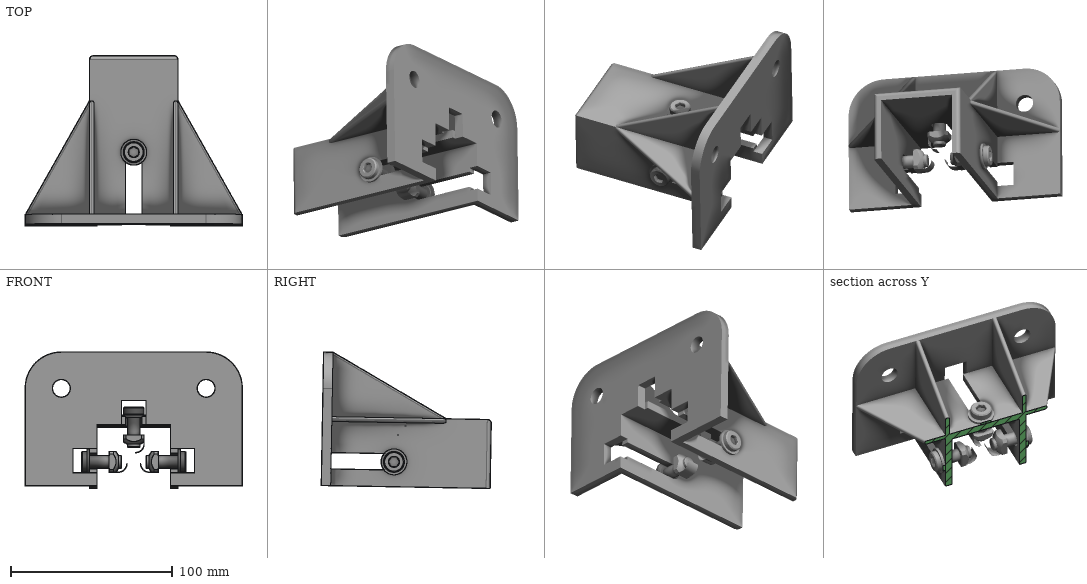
import cadquery as cq
import math


PITCH = 1.0

FLANGE_WIDTH = 135.0
FLANGE_HEIGHT = 83.0
FLANGE_THICKNESS = 6.0
CORNER_RADIUS = 22.5
MOUNTING_HOLE_DIAMETER = 11.0

BRACKET_LENGTH = 105.0
CHANNEL_INNER_WIDTH = 45.4
CHANNEL_INNER_HEIGHT = 38.0
SIDE_WALL = 4.9
TOP_WALL = 5.0
CHANNEL_WIDTH = CHANNEL_INNER_WIDTH + 2 * SIDE_WALL
CHANNEL_HEIGHT = CHANNEL_INNER_HEIGHT + TOP_WALL
END_FILLET = 2.5

RIB_LENGTH = 71.0
RIB_THICKNESS = 3.0
RIB_EDGE_FILLET = 1.2

ACCESS_WIDTH = 15.0
SLOT_WIDTH = 10.0
BOLT_Y = 45.0
SIDE_BOLT_Z = 15.5

SHANK_DIAMETER = 8.0
SHANK_LENGTH = 20.0
SHANK_CHAMFER = 0.4
HEAD_DIAMETER = 13.0
HEAD_HEIGHT = 5.0
HEAD_CHAMFER = 0.7
SOCKET_WIDTH = 6.0
SOCKET_DEPTH = 2.5
SOCKET_COUNTERSINK_DEPTH = 0.4
SOCKET_COUNTERSINK_ANGLE = 45
WASHER_DIAMETER = 16.0
WASHER_THICKNESS = 1.6
NUT_WIDTH = 13.0
NUT_CORNER_CHAMFER = 1.8
NUT_THICKNESS = 5.7
NUT_DOME_RADIUS = 10.0
NUT_END_DIAMETER = 8.5
NUT_OFFSET = 12.3
SPRING_THICKNESS = 0.1
SPRING_RADIUS = 5.4
SPRING_WIDTH = 8.1


def block(width, y_start, y_end, z_start, z_end):
    """Box given by its width about X = 0 and its Y and Z limits."""
    size = (width, y_end - y_start, z_end - z_start)
    return cq.Workplane().box(*size, centered=(True, False, False)).translate((0, y_start, z_start))


def flange():
    plate = block(FLANGE_WIDTH, 0, FLANGE_THICKNESS, 0, FLANGE_HEIGHT)
    plate = plate.edges("|Y and >Z").fillet(CORNER_RADIUS)
    hole_x = FLANGE_WIDTH / 2 - CORNER_RADIUS
    hole_z = FLANGE_HEIGHT - CORNER_RADIUS
    holes = (
        cq.Workplane("XZ")
        .pushPoints([(-hole_x, hole_z), (hole_x, hole_z)])
        .circle(MOUNTING_HOLE_DIAMETER / 2)
        .extrude(-FLANGE_THICKNESS)
    )
    return plate.cut(holes)


def channel_block():
    body = block(CHANNEL_WIDTH, 0, BRACKET_LENGTH, 0, CHANNEL_HEIGHT)
    far_face = body.faces(">Y")
    return far_face.edges("not <Z").fillet(END_FILLET)


def rib(height, start):
    """Rib parallel to YZ, tapering to Z = start, rooted in the channel wall, with rounded sloping edges."""
    tip_y = FLANGE_THICKNESS + RIB_LENGTH
    root = start - RIB_THICKNESS
    outline = [
        (FLANGE_THICKNESS, root),
        (tip_y, root),
        (tip_y, start),
        (FLANGE_THICKNESS, start + height),
    ]
    plate = cq.Workplane("YZ").polyline(outline).close().extrude(RIB_THICKNESS)
    slope = plate.faces(cq.selectors.DirectionMinMaxSelector(cq.Vector(0, height, RIB_LENGTH), True))
    return slope.edges("not |X").fillet(RIB_EDGE_FILLET)


def ribs():
    top_rib = rib(FLANGE_HEIGHT - CHANNEL_HEIGHT, CHANNEL_HEIGHT).translate(
        (CHANNEL_WIDTH / 2 - RIB_THICKNESS, 0, 0)
    )
    side_rib = (
        rib((FLANGE_WIDTH - CHANNEL_WIDTH) / 2, CHANNEL_WIDTH / 2)
        .rotate((0, 0, 0), (0, 1, 0), 90)
        .translate((0, 0, CHANNEL_HEIGHT))
    )
    right_ribs = top_rib.union(side_rib)
    return right_ribs.union(right_ribs.mirror("YZ"))


def slot_cutter(wall):
    """Cutter for a wall slot and its flange notch; the wall's outer face is at Z = 0."""
    straight = block(SLOT_WIDTH, 0, BOLT_Y, -wall, 0)
    round_end = cq.Workplane().center(0, BOLT_Y).circle(SLOT_WIDTH / 2).extrude(-wall)
    notch = block(ACCESS_WIDTH, 0, FLANGE_THICKNESS, -wall, ACCESS_WIDTH - wall)
    return straight.union(round_end).union(notch)


def on_top(part):
    """Move a part from the Z axis to the top wall, its Z = 0 on the outer face."""
    return part.translate((0, 0, CHANNEL_HEIGHT))


def on_right(part):
    """Turn a part about Y so its Z axis points out of the +X wall, its Z = 0 on the outer face."""
    return part.rotate((0, 0, 0), (0, 1, 0), 90).translate((CHANNEL_WIDTH / 2, 0, SIDE_BOLT_Z))


def on_left(part):
    """Mirror image of on_right, for the -X wall."""
    return on_right(part).mirror("YZ")


def bracket():
    body = flange().union(channel_block()).union(ribs())
    body = body.cut(block(CHANNEL_INNER_WIDTH, 0, BRACKET_LENGTH, 0, CHANNEL_INNER_HEIGHT))
    body = body.cut(on_top(slot_cutter(TOP_WALL)))
    side_cutter = slot_cutter(SIDE_WALL)
    return body.cut(on_right(side_cutter)).cut(on_left(side_cutter))


def bolt():
    """Socket head bolt pointing down, with the underside of its head at Z = 0."""
    shank = cq.Workplane().circle(SHANK_DIAMETER / 2).extrude(-SHANK_LENGTH)
    shank = shank.faces("<Z").chamfer(SHANK_CHAMFER)
    head = cq.Workplane().circle(HEAD_DIAMETER / 2).extrude(HEAD_HEIGHT)
    head = head.edges().chamfer(HEAD_CHAMFER)
    corner_diameter = SOCKET_WIDTH / math.cos(math.pi / 6)
    socket = cq.Workplane().polygon(6, corner_diameter).extrude(-SOCKET_DEPTH)
    socket = socket.rotate((0, 0, 0), (0, 0, 1), 90)
    countersink = cq.Workplane().circle(corner_diameter / 2).extrude(
        -SOCKET_COUNTERSINK_DEPTH, taper=SOCKET_COUNTERSINK_ANGLE
    )
    socket = socket.union(countersink).translate((0, 0, HEAD_HEIGHT))
    return shank.union(head).cut(socket).translate((0, BOLT_Y, 0))


def washer(bore):
    """Flat ring whose lower face is at Z = 0."""
    ring = cq.Workplane().circle(WASHER_DIAMETER / 2).circle(bore / 2).extrude(WASHER_THICKNESS)
    return ring.translate((0, BOLT_Y, 0))


def spring_leaf():
    """Thin leaf flush with the +X side of the nut, bent under the nut in a quarter round."""
    outer = NUT_WIDTH / 2
    inner = outer - SPRING_THICKNESS
    inner_radius = SPRING_RADIUS - SPRING_THICKNESS
    end_x = outer - SPRING_RADIUS
    leaf = (
        cq.Workplane("XZ")
        .moveTo(outer, 0)
        .lineTo(outer, -NUT_THICKNESS)
        .radiusArc((end_x, -NUT_THICKNESS - SPRING_RADIUS), SPRING_RADIUS)
        .lineTo(end_x, -NUT_THICKNESS - inner_radius)
        .radiusArc((inner, -NUT_THICKNESS), -inner_radius)
        .lineTo(inner, 0)
        .close()
    )
    return leaf.extrude(SPRING_WIDTH / 2, both=True)


def nut():
    """Square nut with cut corners, a domed lower end and a spring leaf; its top is at Z = -NUT_OFFSET."""
    body = cq.Workplane().rect(NUT_WIDTH, NUT_WIDTH).extrude(-NUT_THICKNESS)
    body = body.edges("|Z").chamfer(NUT_CORNER_CHAMFER)
    dome_center_z = math.sqrt(NUT_DOME_RADIUS ** 2 - (NUT_END_DIAMETER / 2) ** 2) - NUT_THICKNESS
    body = body.intersect(cq.Workplane().sphere(NUT_DOME_RADIUS).translate((0, 0, dome_center_z)))
    body = body.union(spring_leaf())
    hole = cq.Workplane().circle(SHANK_DIAMETER / 2).extrude(-NUT_THICKNESS)
    return body.cut(hole).translate((0, BOLT_Y, -NUT_OFFSET))


def pitched(part):
    """Tip a level part about the X axis so that its far end drops."""
    return part.rotate((0, 0, 0), (1, 0, 0), -PITCH)


top_seat = (0, 0, WASHER_THICKNESS)
bodies = [
    bracket(),
    on_top(bolt().translate(top_seat)),
    on_top(nut().translate(top_seat)),
    on_top(washer(SHANK_DIAMETER)),
]
for on_wall in (on_left, on_right):
    bodies.append(on_wall(bolt()))
    bodies.append(on_wall(nut()))
    bodies.append(on_wall(washer(HEAD_DIAMETER)))

result = cq.Compound.makeCompound([pitched(body).val() for body in bodies])